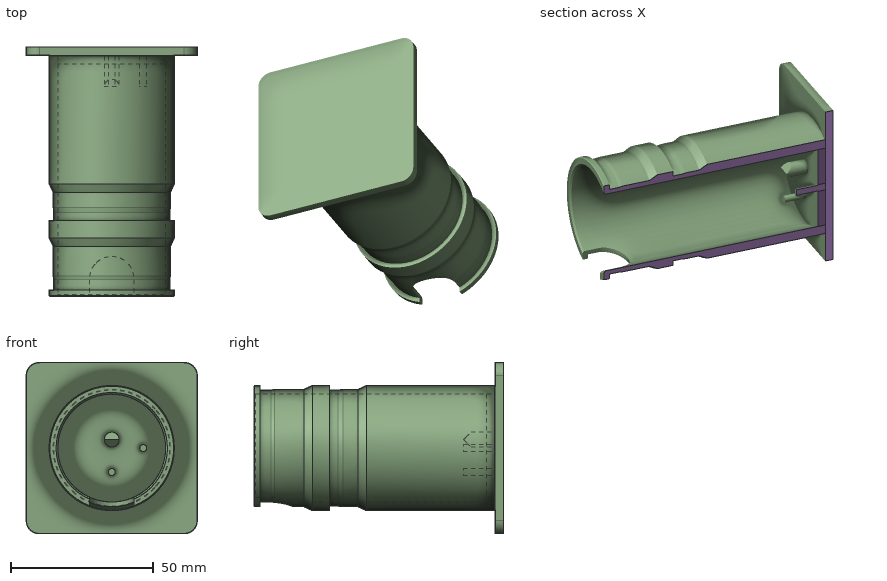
import cadquery as cq


plate_side = 60.0
plate_thickness = 3.0
plate_corner_radius = 4.6

tube_end = 87.5
body_end = 48.0
collar_start = 61.0
collar_end = 67.0
shoulder_length = 3.0
rear_neck_end = 56.35
rear_groove_start = 58.0
front_neck_end = 80.3
front_groove_start = 81.55
lip_start = 85.3
tube_radius = 22.0
neck_radius = 20.6
groove_radius = 20.4
bore_radius = 18.9
mouth_chamfer = 0.6
edge_chamfer = 0.3

notch_width = 15.5
notch_depth = 14.0

insert_thickness = 3.0

key_pin_radius = 2.6
key_pin_height = 3.0
round_pin_radius = 1.2
side_pin_offset = 11.0
lower_pin_offset = 8.4
pin_end = 14.0

key_pin_place = (0, key_pin_height)
round_pin_places = [(side_pin_offset, 0), (0, -lower_pin_offset)]


def cylinder_along_tube(radius, place, start, end):
    """Round bar parallel to the tube axis, between two distances from the plate's back."""
    x, z = place
    return cq.Workplane("XZ", origin=(x, -start, z)).circle(radius).extrude(end - start)


def make_plate():
    plate = cq.Workplane("XZ").rect(plate_side, plate_side).extrude(plate_thickness)
    return plate.edges("|Y").fillet(plate_corner_radius)


def make_tube():
    section = [
        (bore_radius, plate_thickness),
        (tube_radius - edge_chamfer, plate_thickness),
        (tube_radius, plate_thickness + edge_chamfer),
        (tube_radius, body_end),
        (neck_radius, body_end + shoulder_length),
        (neck_radius, rear_neck_end),
        (groove_radius, rear_groove_start),
        (groove_radius, collar_start),
        (tube_radius, collar_start),
        (tube_radius, collar_end),
        (neck_radius, collar_end + shoulder_length),
        (neck_radius, front_neck_end),
        (groove_radius, front_groove_start),
        (groove_radius, lip_start),
        (tube_radius, lip_start),
        (tube_radius, tube_end - edge_chamfer),
        (tube_radius - edge_chamfer, tube_end),
        (bore_radius + mouth_chamfer, tube_end),
        (bore_radius, tube_end - mouth_chamfer),
    ]
    points = [(radius, -distance) for radius, distance in section]
    tube = cq.Workplane("XY").polyline(points).close().revolve(360, (0, 0), (0, 1))
    return tube.cut(make_notch())


def make_notch():
    """Round-ended slot cutter, open at the mouth, below the tube axis."""
    half_width = notch_width / 2
    arc_center = -(tube_end - notch_depth + half_width)
    return (
        cq.Workplane("XY")
        .moveTo(-half_width, -tube_end)
        .lineTo(-half_width, arc_center)
        .threePointArc((0, arc_center + half_width), (half_width, arc_center))
        .lineTo(half_width, -tube_end)
        .close()
        .extrude(-tube_radius)
    )


def make_insert():
    """Disc on the floor of the bore, with a matching hole for every contact."""
    front = plate_thickness + insert_thickness
    insert = cylinder_along_tube(bore_radius, (0, 0), plate_thickness, front)
    insert = insert.cut(cylinder_along_tube(key_pin_radius, key_pin_place, plate_thickness, front))
    for place in round_pin_places:
        insert = insert.cut(cylinder_along_tube(round_pin_radius, place, plate_thickness, front))
    return insert


def make_key_pin():
    """Thick contact whose tip is a chisel: two 45 degree flats meeting in a ridge along X."""
    pin = cylinder_along_tube(key_pin_radius, key_pin_place, plate_thickness, pin_end)
    flats_start = pin_end - key_pin_radius
    chisel = (
        cq.Workplane("YZ", origin=(0, 0, key_pin_height))
        .moveTo(-plate_thickness, -key_pin_radius)
        .lineTo(-plate_thickness, key_pin_radius)
        .lineTo(-flats_start, key_pin_radius)
        .lineTo(-pin_end, 0)
        .lineTo(-flats_start, -key_pin_radius)
        .close()
        .extrude(key_pin_radius, both=True)
    )
    return pin.intersect(chisel)


def make_round_pin(place):
    return cylinder_along_tube(round_pin_radius, place, plate_thickness, pin_end)


plate = make_plate()
tube = make_tube()
insert = make_insert()
key_pin = make_key_pin()
round_pins = [make_round_pin(place) for place in round_pin_places]

result = cq.Compound.makeCompound(
    [plate.val(), tube.val(), insert.val(), key_pin.val(), *[pin.val() for pin in round_pins]]
)